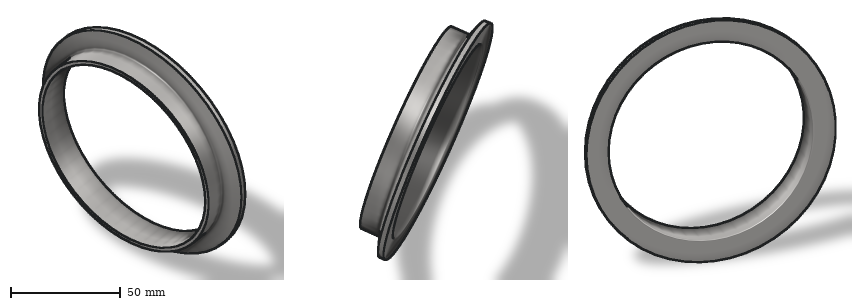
import cadquery as cq
import math

length = 15.9
flange_diameter = 118.92
tube_diameter = 101.6
bore_diameter = 97.38
rim_thickness = 2.85
taper_angle = 20.0
neck_radius = 1.5
bore_fillet = 0.79

flange_radius = flange_diameter / 2
tube_radius = tube_diameter / 2
bore_radius = bore_diameter / 2
taper = math.radians(taper_angle)

rim_back = length - rim_thickness
neck_center_x = tube_radius + neck_radius
taper_start_x = neck_center_x - neck_radius * math.sin(taper)
taper_start_y = rim_back - (flange_radius - taper_start_x) * math.tan(taper)
neck_center_y = taper_start_y - neck_radius * math.cos(taper)


def neck_point(angle):
    """Point on the neck arc, at an angle measured from the tube wall tangency."""
    x = neck_center_x - neck_radius * math.cos(angle)
    y = neck_center_y + neck_radius * math.sin(angle)
    return x, y


def ferrule_profile():
    """Half section of the ferrule in the XY plane."""
    neck_sweep = math.pi / 2 - taper
    return (
        cq.Workplane("XY")
        .moveTo(bore_radius, 0)
        .lineTo(tube_radius, 0)
        .lineTo(tube_radius, neck_center_y)
        .threePointArc(neck_point(neck_sweep / 2), (taper_start_x, taper_start_y))
        .lineTo(flange_radius, rim_back)
        .lineTo(flange_radius, length)
        .lineTo(bore_radius, length)
        .close()
    )


def round_bore_mouth(body):
    """Round the bore edge on the mating face."""
    mating_edges = body.faces(">Y").edges(cq.selectors.RadiusNthSelector(0))
    return mating_edges.fillet(bore_fillet)


ferrule = ferrule_profile().revolve(360, (0, 0, 0), (0, 1, 0))
result = round_bore_mouth(ferrule)